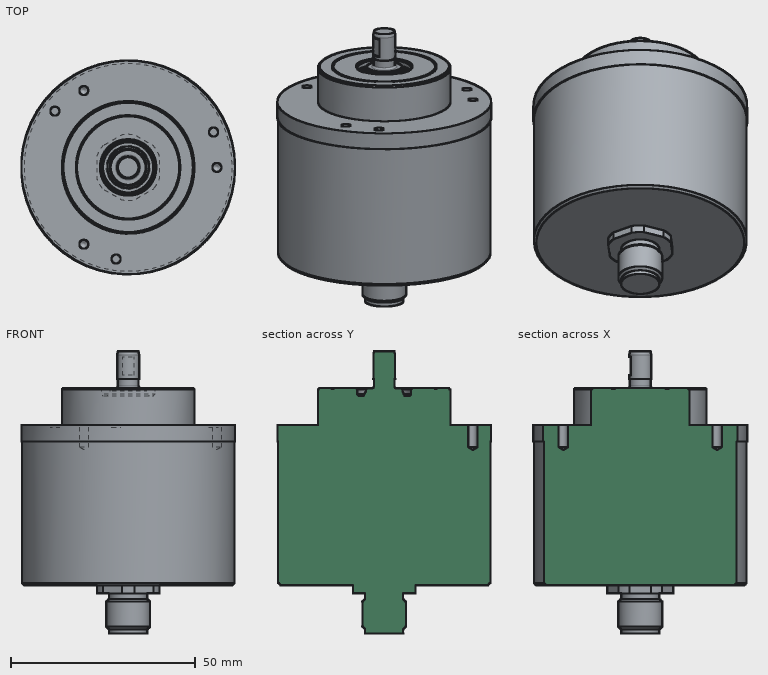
import cadquery as cq
import math

overall_height = 76.5
body_bottom_z = 13.1
plate_bottom_z = 52.0
plate_top_z = 56.5
pilot_top_z = 66.55

plate_radius = 29.0
body_radius = 28.85
body_chamfer = 0.7
pilot_radius = 18.0
pilot_chamfer = 0.45

ring_groove_radius = 14.0
ring_groove_width = 0.3
ring_groove_depth = 0.3

recess_radius = 7.3
recess_depth = 2.15
recess_rim_chamfer = 0.4
recess_floor_bevel = 0.45

collar_top_z = 66.5
collar_radius = 5.0
collar_chamfer = 0.2
collar_base_radius = 5.65
collar_flare_height = 1.3

shaft_diameter = 6.05
shaft_radius = shaft_diameter / 2
shaft_chamfer_height = 1.0
shaft_chamfer_width = 0.2
neck_diameter = 5.7
neck_radius = neck_diameter / 2
neck_fillet = 0.5
neck_top_z = 69.0
flat_offset = 2.6
flat_bottom_z = 70.0
flat_top_z = 75.0

hole_radius = 1.2
screw_circle_radius = 24.0
screw_hole_depth = 6.0
drill_point_angle = 118.0
pin_circle_radius = 25.0
pin_hole_depth = 0.8
pin_start_angle = 22.5
holes_per_circle = 3

nut_bottom_z = 10.95
nut_across_flats = 17.0
nut_corner_diameter = 18.0
connector_radius = 6.0
connector_core_radius = 5.2
thread_bottom_z = 1.15
thread_top_z = 9.4


def revolve_profile(points):
    """Solid of revolution about Z from an (r, z) outline."""
    return cq.Workplane("XZ").polyline(points).close().revolve(360, (0, 0, 0), (0, 1, 0))


def cylinder(radius, bottom_z, top_z):
    """Cylinder on the Z axis between two levels."""
    return cq.Workplane("XY").workplane(offset=bottom_z).circle(radius).extrude(top_z - bottom_z)


def make_housing():
    body = cylinder(body_radius, body_bottom_z, plate_bottom_z).faces("<Z").chamfer(body_chamfer)
    plate = cylinder(plate_radius, plate_bottom_z, plate_top_z)
    pilot = cylinder(pilot_radius, plate_top_z, pilot_top_z).faces(">Z").chamfer(pilot_chamfer)
    return body.union(plate).union(pilot)


def make_ring_groove():
    outer_radius = ring_groove_radius + ring_groove_width / 2
    inner_radius = ring_groove_radius - ring_groove_width / 2
    return (
        cq.Workplane("XY")
        .workplane(offset=pilot_top_z - ring_groove_depth)
        .circle(outer_radius)
        .circle(inner_radius)
        .extrude(ring_groove_depth)
    )


def make_recess():
    """Round recess with a chamfered rim and a bevelled floor corner."""
    floor_z = pilot_top_z - recess_depth
    return revolve_profile([
        (0, floor_z),
        (recess_radius - recess_floor_bevel, floor_z),
        (recess_radius, floor_z + recess_floor_bevel),
        (recess_radius, pilot_top_z - recess_rim_chamfer),
        (recess_radius + recess_rim_chamfer, pilot_top_z),
        (0, pilot_top_z),
    ])


def make_collar():
    """Collar with a chamfered top edge and a flared foot on the recess floor."""
    floor_z = pilot_top_z - recess_depth
    return revolve_profile([
        (0, floor_z),
        (collar_base_radius, floor_z),
        (collar_radius, floor_z + collar_flare_height),
        (collar_radius, collar_top_z - collar_chamfer),
        (collar_radius - collar_chamfer, collar_top_z),
        (0, collar_top_z),
    ])


def make_shaft():
    """Shaft with a necked, filleted foot, a chamfered tip and a flat on its +Y side."""
    arc_centre_r = neck_radius + neck_fillet
    arc_centre_z = collar_top_z + neck_fillet
    arc_reach = neck_fillet * math.sqrt(0.5)
    shaft = (
        cq.Workplane("XZ")
        .moveTo(0, collar_top_z)
        .lineTo(arc_centre_r, collar_top_z)
        .threePointArc(
            (arc_centre_r - arc_reach, arc_centre_z - arc_reach),
            (neck_radius, arc_centre_z),
        )
        .lineTo(neck_radius, neck_top_z)
        .lineTo(shaft_radius, neck_top_z)
        .lineTo(shaft_radius, overall_height - shaft_chamfer_height)
        .lineTo(shaft_radius - shaft_chamfer_width, overall_height)
        .lineTo(0, overall_height)
        .close()
        .revolve(360, (0, 0, 0), (0, 1, 0))
    )
    flat_cut = (
        cq.Workplane("XY")
        .workplane(offset=flat_bottom_z)
        .center(0, flat_offset + shaft_radius / 2)
        .rect(2 * shaft_radius, shaft_radius)
        .extrude(flat_top_z - flat_bottom_z)
    )
    return shaft.cut(flat_cut)


def make_screw_hole():
    """Blind drilled hole with a conical bottom."""
    full_depth_z = plate_top_z - screw_hole_depth
    point_height = hole_radius / math.tan(math.radians(drill_point_angle / 2))
    return revolve_profile([
        (0, plate_top_z),
        (hole_radius, plate_top_z),
        (hole_radius, full_depth_z),
        (0, full_depth_z - point_height),
    ])


def place_on_circle(tool, circle_radius, start_angle):
    """Equally spaced copies of a tool around the Z axis."""
    moved = tool.translate((circle_radius, 0, 0))
    copies = cq.Workplane("XY")
    for index in range(holes_per_circle):
        angle = start_angle + index * 360 / holes_per_circle
        copies = copies.add(moved.rotate((0, 0, 0), (0, 0, 1), angle))
    return copies.combine()


def make_nut():
    """Hexagon with corners on the Y axis, all corners turned down to a cylinder."""
    hexagon = (
        cq.Workplane("XY")
        .workplane(offset=nut_bottom_z)
        .polygon(6, nut_across_flats, circumscribed=True)
        .extrude(body_bottom_z - nut_bottom_z)
    )
    return hexagon.intersect(cylinder(nut_corner_diameter / 2, nut_bottom_z, body_bottom_z))


def make_connector():
    core = cylinder(connector_core_radius, 0, nut_bottom_z)
    thread_chamfer = connector_radius - connector_core_radius
    thread = cylinder(connector_radius, thread_bottom_z, thread_top_z)
    thread = thread.faces("<Z or >Z").chamfer(thread_chamfer)
    return core.union(thread)


screw_holes = place_on_circle(make_screw_hole(), screw_circle_radius, 0)
pin_hole = cylinder(hole_radius, plate_top_z - pin_hole_depth, plate_top_z)
pin_holes = place_on_circle(pin_hole, pin_circle_radius, pin_start_angle)

result = (
    make_housing()
    .cut(make_ring_groove())
    .cut(make_recess())
    .cut(screw_holes)
    .cut(pin_holes)
    .union(make_collar())
    .union(make_shaft())
    .union(make_nut())
    .union(make_connector())
)